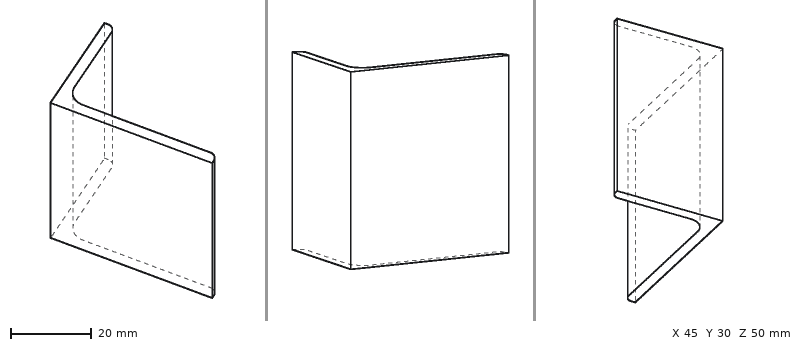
import cadquery as cq

long_leg = 45.0
short_leg = 30.0
length = 50.0
thickness = 3.0
root_radius = 4.5
toe_radius = 2.0


def angle_section():
    """Sharp-cornered L profile with its heel at the origin."""
    return (
        cq.Workplane("XY")
        .moveTo(0, 0)
        .lineTo(long_leg, 0)
        .lineTo(long_leg, thickness)
        .lineTo(thickness, thickness)
        .lineTo(thickness, short_leg)
        .lineTo(0, short_leg)
        .close()
    )


def round_edge(body, x, y, radius):
    """Fillet the lengthwise edge that passes through (x, y)."""
    edge = cq.selectors.NearestToPointSelector((x, y, length / 2))
    return body.edges("|Z").edges(edge).fillet(radius)


result = angle_section().extrude(length)

result = round_edge(result, thickness, thickness, root_radius)

result = round_edge(result, long_leg, thickness, toe_radius)
result = round_edge(result, thickness, short_leg, toe_radius)